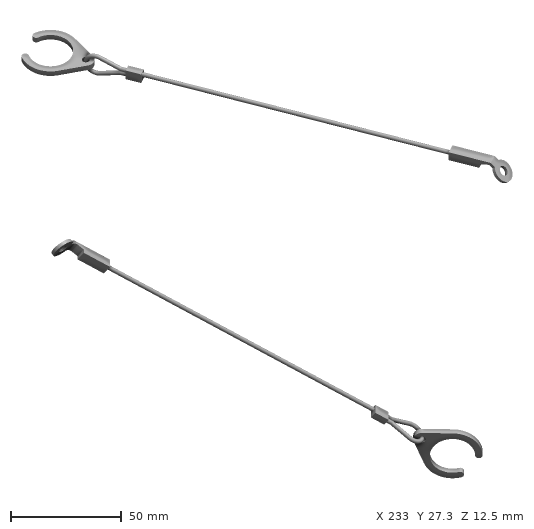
import cadquery as cq
import math

clip_thickness = 2.8
ring_outer_diameter = 27.3
ring_outer_radius = ring_outer_diameter / 2
ring_inner_radius = 10.3
eye_radius = 4.0
eye_hole_diameter = 3.5
eye_x = 28.2
tip_y = 7.2
tip_radius = (ring_outer_radius - ring_inner_radius) / 2
ring_mid_radius = ring_inner_radius + tip_radius
ring_x = tip_radius + math.sqrt(ring_mid_radius**2 - tip_y**2)

cable_diameter = 2.0
loop_radius = 5.1
loop_x = eye_x + loop_radius
strand_z = 1.2
loop_close_x = 45.0
ferrule_start_x = 48.0
ferrule_length = 7.5
ferrule_width = 3.5
ferrule_height = 5.4

total_length = 233.0
lug_start_x = 203.7
lug_size = 5.0
lug_bottom_end_x = 218.5
lug_top_z = strand_z + lug_size / 2
lug_bottom_z = strand_z - lug_size / 2
relief_start_z = 1.0
relief_end_x = 221.7
bend_x = 224.0
bend_angle = 45
tongue_thickness = 1.6
tongue_ring_diameter = 10.7
tongue_hole_diameter = 4.7


def make_clip():
    def disc(x, y, radius):
        return cq.Workplane("XY").center(x, y).circle(radius).extrude(clip_thickness / 2, both=True)

    flank_angle = math.acos((ring_outer_radius - eye_radius) / (eye_x - ring_x))
    flank_cos = math.cos(flank_angle)
    flank_sin = math.sin(flank_angle)
    ring_tangent = (ring_x + ring_outer_radius * flank_cos, ring_outer_radius * flank_sin)
    eye_tangent = (eye_x + eye_radius * flank_cos, eye_radius * flank_sin)
    body = (
        cq.Workplane("XY")
        .moveTo(ring_tangent[0], -ring_tangent[1])
        .lineTo(eye_tangent[0], -eye_tangent[1])
        .threePointArc((eye_x + eye_radius, 0), eye_tangent)
        .lineTo(*ring_tangent)
        .threePointArc((ring_x - ring_outer_radius, 0), (ring_tangent[0], -ring_tangent[1]))
        .close()
        .extrude(clip_thickness / 2, both=True)
    )

    mouth_reach = 2
    mouth_x = ring_x - mouth_reach * (ring_x - tip_radius)
    mouth_y = mouth_reach * tip_y
    mouth = (
        cq.Workplane("XY")
        .polyline([(ring_x, 0), (mouth_x, mouth_y), (mouth_x, -mouth_y)])
        .close()
        .extrude(clip_thickness, both=True)
    )
    body = body.cut(disc(ring_x, 0, ring_inner_radius)).cut(mouth)
    for side in (-1, 1):
        body = body.union(disc(tip_radius, side * tip_y, tip_radius))
    return body.cut(disc(eye_x, 0, eye_hole_diameter / 2))


def make_cable():
    close_dx = loop_close_x - loop_x
    close_distance = math.hypot(close_dx, strand_z)
    tangent_angle = math.atan2(strand_z, close_dx) + math.acos(loop_radius / close_distance)
    tangent_x = loop_x + loop_radius * math.cos(tangent_angle)
    tangent_z = loop_radius * math.sin(tangent_angle)
    ferrule_middle_x = ferrule_start_x + ferrule_length / 2
    path = (
        cq.Workplane("XZ")
        .moveTo(ferrule_middle_x, -strand_z)
        .lineTo(loop_close_x, -strand_z)
        .lineTo(tangent_x, -tangent_z)
        .threePointArc((eye_x, 0), (tangent_x, tangent_z))
        .lineTo(loop_close_x, strand_z)
        .lineTo(lug_start_x, strand_z)
    )
    strand = (
        cq.Workplane("YZ", origin=(ferrule_middle_x, 0, -strand_z))
        .circle(cable_diameter / 2)
        .sweep(path, transition="round")
    )
    ferrule = cq.Workplane("XY").box(ferrule_length, ferrule_width, ferrule_height)
    return strand.union(ferrule.translate((ferrule_middle_x, 0, 0)))


def make_lug():
    bend_underside_x = bend_x - tongue_thickness * math.tan(math.radians(bend_angle / 2))
    strip_z = lug_top_z - tongue_thickness
    block = (
        cq.Workplane("XZ")
        .moveTo(lug_start_x, lug_bottom_z)
        .lineTo(lug_bottom_end_x, lug_bottom_z)
        .lineTo(lug_bottom_end_x, relief_start_z)
        .lineTo(relief_end_x, strip_z)
        .lineTo(bend_underside_x, strip_z)
        .lineTo(bend_x, lug_top_z)
        .lineTo(lug_start_x, lug_top_z)
        .close()
        .extrude(lug_size / 2, both=True)
    )

    slope_length = (total_length - bend_x) / math.cos(math.radians(bend_angle))
    ring_centre = slope_length - tongue_ring_diameter / 2
    bend_setback = bend_x - bend_underside_x
    neck = (
        cq.Workplane("XZ")
        .polyline([
            (0, 0),
            (ring_centre, 0),
            (ring_centre, -tongue_thickness),
            (bend_setback, -tongue_thickness),
        ])
        .close()
        .extrude(lug_size / 2, both=True)
    )
    ring = cq.Workplane("XY").center(ring_centre, 0).circle(tongue_ring_diameter / 2)
    ring = ring.extrude(-tongue_thickness)
    hole = cq.Workplane("XY").center(ring_centre, 0).circle(tongue_hole_diameter / 2)
    hole = hole.extrude(-tongue_thickness)
    tongue = neck.union(ring).cut(hole)
    tongue = tongue.rotate((0, 0, 0), (0, 1, 0), bend_angle).translate((bend_x, 0, lug_top_z))
    return block.union(tongue)


clip = make_clip()
cable = make_cable()
lug = make_lug()

result = cq.Compound.makeCompound([*clip.solids().vals(), *cable.solids().vals(), *lug.solids().vals()])